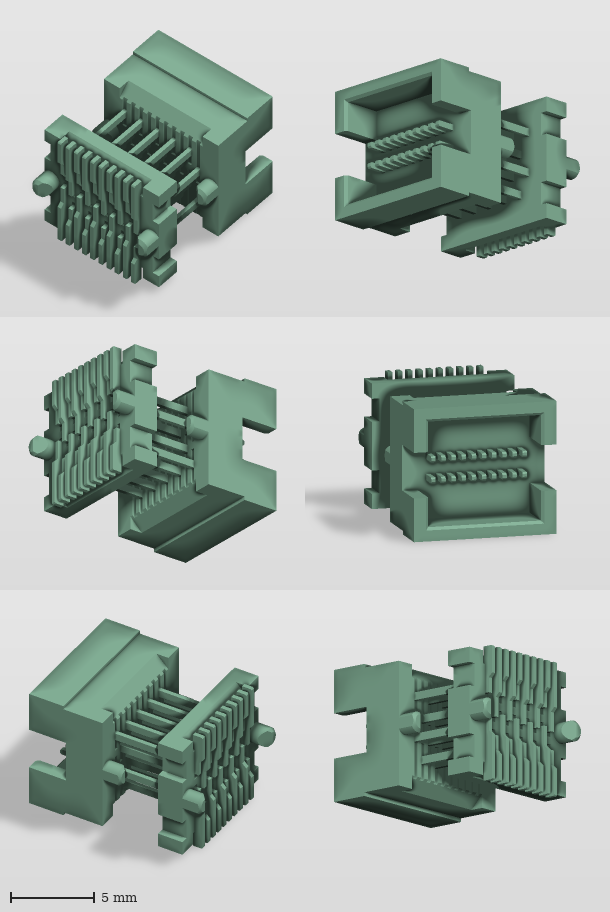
import cadquery as cq


WIDTH = 8.89
BLOCK_HEIGHT = 7.68
CONTACT_HEIGHT = 8.27

BODY_DEPTH = 5.12
HEAD_DEPTH = 2.39
HEAD_HEIGHT = 8.14
MOUTH_HEIGHT = 2.8
MOUTH_DEPTH = 2.57
END_WALL = 0.92
CAVITY_WALL = 0.84
LEAD_IN = 0.17

PLATE_BACK = -3.9
PLATE_DEPTH = 1.69
PLATE_FRONT = PLATE_BACK - PLATE_DEPTH
NOTCH_DEPTH = 0.48
NOTCH_LOW = 1.48
NOTCH_HIGH = 2.91

RAMP_WIDTH = 6.44
RAMP_SIZE = 0.84

PEG_RADIUS = 0.63
PEG_LENGTH = 1.26
PEG_X = 3.91
PEG_TIP_CHAMFER = 0.2

COLUMNS = 10
PITCH = 0.63
GROOVE_WIDTH = 0.31
GROOVE_DEPTH = 0.13
SHORT_GROOVE_END = 0.86
LONG_GROOVE_END = -0.38

STRIP_WIDTH = 0.28
STRIP_DEPTH = 0.67
TONGUE_DEPTH = 0.41
SHORT_STRIP_END = 1.26
LONG_STRIP_END = -0.12
SHORT_BEVEL_START = 2.18
LONG_BEVEL_START = 1.08
STRIP_TIP_CHAMFER = 0.07

BEAM_HEIGHT = 0.48
SHORT_BEAM_Z = 1.92
LONG_BEAM_Z = 0.63

PIN_Z = 0.65
PIN_HEIGHT = 0.37
PIN_LENGTH = 1.29
PIN_CHAMFER = 0.1


def block(x_size, z_size, y_front, y_back):
    """Box centred on X and Z, between two Y positions."""
    return (
        cq.Workplane("XY")
        .box(x_size, y_back - y_front, z_size)
        .translate((0, (y_front + y_back) / 2, 0))
    )


def yz_prism(points, width, x=0):
    """Outline of (y, z) points extruded along X, centred on x."""
    return (
        cq.Workplane("YZ", origin=(x - width / 2, 0, 0))
        .polyline(points)
        .close()
        .extrude(width)
    )


def both_sides(half, plane):
    """A shape together with its mirror image."""
    return half.union(half.mirror(plane))


def front_ramps(y_front):
    """Cutters for the sloped recesses above and below a front face."""
    edge = BLOCK_HEIGHT / 2
    upper = yz_prism(
        [(y_front, edge - RAMP_SIZE), (y_front + RAMP_SIZE, edge), (y_front, edge)],
        RAMP_WIDTH,
    )
    return both_sides(upper, "XY")


def columns():
    """X position of each column, and the side (+1 up, -1 down) of its short strip."""
    for index in range(COLUMNS):
        x = (index - (COLUMNS - 1) / 2) * PITCH
        yield x, (1 if index % 2 == 0 else -1)


def groove(x, y_front, z_inner, z_outer):
    """Cutter for one vertical groove in a front face."""
    return (
        cq.Workplane("XY")
        .box(GROOVE_WIDTH, GROOVE_DEPTH, abs(z_outer - z_inner))
        .translate((x, y_front + GROOVE_DEPTH / 2, (z_inner + z_outer) / 2))
    )


def cut_front(shape, y_front):
    """Cut the ramps and the staggered contact grooves into a front face."""
    shape = shape.cut(front_ramps(y_front))
    outer = BLOCK_HEIGHT / 2
    for x, short_side in columns():
        shape = shape.cut(groove(x, y_front, short_side * SHORT_GROOVE_END, short_side * outer))
        shape = shape.cut(groove(x, y_front, -short_side * LONG_GROOVE_END, -short_side * outer))
    return shape


def pegs(y_front):
    """Pair of tapered pegs, trimmed flush with the sides of the part."""
    tip = y_front - PEG_LENGTH
    peg = (
        cq.Workplane("XZ", origin=(PEG_X, y_front, 0))
        .circle(PEG_RADIUS)
        .extrude(PEG_LENGTH)
        .faces("<Y")
        .chamfer(PEG_TIP_CHAMFER)
    )
    inner_bevel = (
        cq.Workplane("XY")
        .polyline([(PEG_X, tip), (PEG_X - PEG_RADIUS, tip), (PEG_X - PEG_RADIUS, tip + PEG_RADIUS)])
        .close()
        .extrude(PEG_RADIUS, both=True)
    )
    peg = peg.cut(inner_bevel).intersect(block(WIDTH, BLOCK_HEIGHT, tip, y_front))
    return both_sides(peg, "YZ")


def socket_body():
    body = block(WIDTH, BLOCK_HEIGHT, 0, BODY_DEPTH)
    body = body.union(block(WIDTH, HEAD_HEIGHT, BODY_DEPTH - HEAD_DEPTH, BODY_DEPTH))
    floor = BODY_DEPTH - MOUTH_DEPTH
    cavity_width = WIDTH - 2 * END_WALL
    cavity_height = HEAD_HEIGHT - 2 * CAVITY_WALL
    cavity = block(cavity_width, cavity_height, floor, BODY_DEPTH)
    rim = (
        cq.Workplane("XZ", origin=(0, BODY_DEPTH, 0))
        .rect(cavity_width + 2 * LEAD_IN, cavity_height + 2 * LEAD_IN)
        .workplane(offset=LEAD_IN)
        .rect(cavity_width, cavity_height)
        .loft(ruled=True)
    )
    mouth = block(WIDTH, MOUTH_HEIGHT, floor, BODY_DEPTH)
    body = body.cut(cavity).cut(rim).cut(mouth)
    return cut_front(body, 0).union(pegs(0))


def contact_plate():
    plate = block(WIDTH, BLOCK_HEIGHT, PLATE_FRONT, PLATE_BACK)
    notch_height = NOTCH_HIGH - NOTCH_LOW
    for x_side in (-1, 1):
        for z_side in (-1, 1):
            notch = block(NOTCH_DEPTH, notch_height, PLATE_FRONT, PLATE_BACK)
            x = x_side * (WIDTH - NOTCH_DEPTH) / 2
            z = z_side * (NOTCH_LOW + NOTCH_HIGH) / 2
            plate = plate.cut(notch.translate((x, 0, z)))
    return cut_front(plate, PLATE_FRONT).union(pegs(PLATE_FRONT))


def contact_strip(x, side, inner_end, bevel_start):
    """Vertical strip in a plate groove, with a thin tongue at its inner end."""
    back = PLATE_FRONT + GROOVE_DEPTH
    front = back - STRIP_DEPTH
    tongue_front = back - TONGUE_DEPTH
    outer = CONTACT_HEIGHT / 2
    outline = [
        (back, inner_end),
        (tongue_front, inner_end),
        (tongue_front, bevel_start),
        (front, bevel_start + STRIP_DEPTH - TONGUE_DEPTH),
        (front, outer - STRIP_TIP_CHAMFER),
        (front + STRIP_TIP_CHAMFER, outer),
        (back, outer),
    ]
    return yz_prism([(y, side * z) for y, z in outline], STRIP_WIDTH, x)


def beam(x, z):
    """Straight bar from the plate groove to the cavity floor of the body."""
    y_front = PLATE_FRONT + GROOVE_DEPTH
    y_back = BODY_DEPTH - MOUTH_DEPTH
    return block(STRIP_WIDTH, BEAM_HEIGHT, y_front, y_back).translate((x, 0, z))


def socket_pin(x, z):
    """Chamfered pin standing on the cavity floor."""
    floor = BODY_DEPTH - MOUTH_DEPTH
    pin = block(STRIP_WIDTH, PIN_HEIGHT, floor, floor + PIN_LENGTH)
    return pin.faces(">Y").edges("|X").chamfer(PIN_CHAMFER).translate((x, 0, z))


result = socket_body().union(contact_plate())
for column_x, short in columns():
    result = result.union(contact_strip(column_x, short, SHORT_STRIP_END, SHORT_BEVEL_START))
    result = result.union(contact_strip(column_x, -short, LONG_STRIP_END, LONG_BEVEL_START))
    result = result.union(beam(column_x, short * SHORT_BEAM_Z))
    result = result.union(beam(column_x, -short * LONG_BEAM_Z))
    for pin_side in (-1, 1):
        result = result.union(socket_pin(column_x, pin_side * PIN_Z))